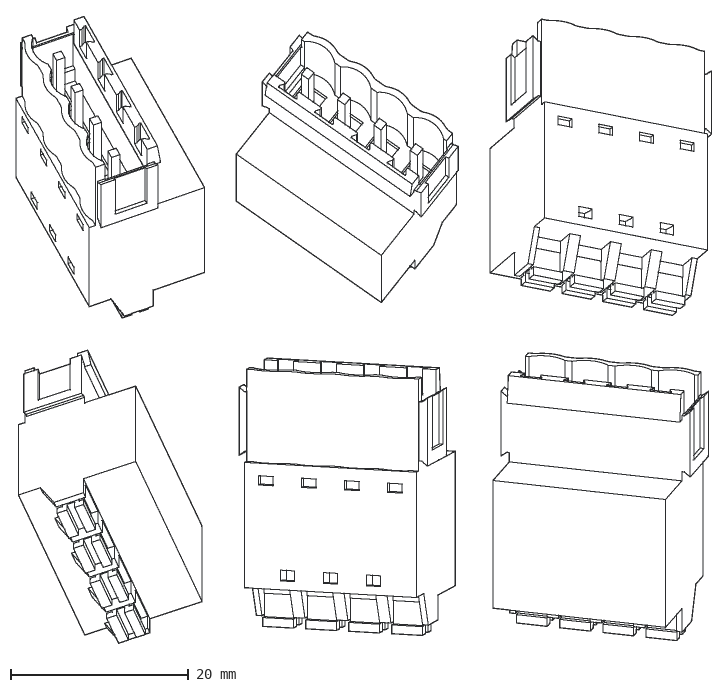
import cadquery as cq
import math


poles = 4
overall_width = 22.27
overall_height = 29.93
body_width = 20.32
body_depth = 14.2
pitch = body_width / poles
pole_xs = [(i - (poles - 1) / 2) * pitch for i in range(poles)]
between_xs = [x + pitch / 2 for x in pole_xs[:-1]]

shoulder_z = 19.42
body_front_bottom_z = 5.12
body_back_bottom_z = 4.07
foot_bottom_z = 1.23
foot_back_y = 7.87
foot_front_y = 4.3
slope_top_y = 2.65

rear_outer_y = 8.0
rear_inner_y = 7.12
rear_ledge_y = 7.1
rear_ledge_z = 25.75
front_inner_y = 1.92
cavity_width = 19.45
mouth_width = 20.53
mouth_ledge_z = 21.55

rib_width = 0.85
scallop_depth = 0.8
wave_valley_y = 0.78
wave_crest_y = 0.3
wave_arc_half = 1.53
valley_flat_half = 0.5

rail_bottom_z = 26.75
rail_bottom_y = 8.77
rail_top_y = 8.38

coding_mouth = 1.9
coding_back = 2.48
coding_back_y = 8.0
coding_flank_y = 7.8
coding_neck_y = 7.4
coding_floor_z = 26.95

ear_front_y = 1.02
ear_back_y = rear_outer_y
ear_bottom_z = 20.0
ear_top_z = 27.8
ear_chamfer = 0.55
ear_shoulder_top_z = ear_top_z - ear_chamfer
ear_slope_x = 10.45
ear_recess_front_y = 2.78
ear_recess_back_y = 6.65
ear_recess_bottom_z = 21.55
ear_recess_depth = 0.45

test_window_width = 1.7
test_window_bottom_z = 16.95
test_window_top_z = 18.0
test_window_depth = 0.65
latch_window_width = 1.65
latch_window_bottom_z = 6.15
latch_window_top_z = 7.35
latch_window_depth = 0.57
latch_well_back_width = 1.23
latch_well_back_y = 1.5
latch_well_bottom_z = 5.4

pin_side = 1.02
pin_y = 4.15
pin_top_z = 27.9
pin_well_width = 3.1
pin_well_front_y = 2.65
pin_well_back_y = 5.55
pin_well_depth = 0.9
pin_base_z = shoulder_z - pin_well_depth

lever_width = 3.62
lever_slot_width = 3.75
lever_top_z = 3.68
lever_front_y = 5.03
lever_back_y = 7.05
lever_toe_front_y = 4.37
lever_toe_back_y = 7.6
lever_toe_height = 1.02
lever_groove_front_y = 5.57
lever_groove_back_y = 6.52
lever_groove_height = 1.15


def box(x0, x1, y0, y1, z0, z1):
    """A box given by its limits along each axis."""
    return cq.Workplane("XY").box(x1 - x0, y1 - y0, z1 - z0, centered=False).translate((x0, y0, z0))


def centred_box(x, width, y0, y1, z0, z1):
    """A box centred at x along X and given by its limits along Y and Z."""
    return box(x - width / 2, x + width / 2, y0, y1, z0, z1)


def side_prism(points, width):
    """A (y, z) outline extruded along X, symmetric about X = 0."""
    return cq.Workplane("YZ").polyline(points).close().extrude(width / 2, both=True)


def plan_prism(points, z0, z1):
    """An (x, y) outline extruded from z0 to z1."""
    return cq.Workplane("XY").workplane(offset=z0).polyline(points).close().extrude(z1 - z0)


def terminal_body():
    outline = [
        (0, body_front_bottom_z),
        (slope_top_y, body_front_bottom_z),
        (foot_front_y, foot_bottom_z),
        (foot_back_y, foot_bottom_z),
        (foot_back_y, body_back_bottom_z),
        (body_depth, body_back_bottom_z),
        (body_depth, shoulder_z),
        (0, shoulder_z),
    ]
    return side_prism(outline, body_width)


def front_wall():
    """Wavy wall: convex bulges joined to flat valleys by tangent concave arcs, scalloped inside."""
    half_width = body_width / 2
    blend_half = pitch / 2 - valley_flat_half
    blend_width = blend_half - wave_arc_half
    wave_height = wave_valley_y - wave_crest_y
    wave_angle = 2 * math.atan(wave_height / blend_half)
    bulge_radius = wave_arc_half / math.sin(wave_angle)
    blend_radius = blend_width / math.sin(wave_angle)
    tangent_y = wave_crest_y + bulge_radius * (1 - math.cos(wave_angle))
    blend_mid_x = blend_half - blend_radius * math.sin(wave_angle / 2)
    blend_mid_y = wave_valley_y - blend_radius * (1 - math.cos(wave_angle / 2))
    scallop_half = (pitch - rib_width) / 2

    wall = cq.Workplane("XY").workplane(offset=shoulder_z).moveTo(-half_width, wave_valley_y)
    for x in pole_xs:
        wall = wall.lineTo(x - blend_half, wave_valley_y)
        wall = wall.threePointArc((x - blend_mid_x, blend_mid_y), (x - wave_arc_half, tangent_y))
        wall = wall.threePointArc((x, wave_crest_y), (x + wave_arc_half, tangent_y))
        wall = wall.threePointArc((x + blend_mid_x, blend_mid_y), (x + blend_half, wave_valley_y))
    wall = wall.lineTo(half_width, wave_valley_y).lineTo(half_width, front_inner_y)
    for x in reversed(pole_xs):
        wall = wall.lineTo(x + scallop_half, front_inner_y)
        wall = wall.threePointArc(
            (x, front_inner_y - scallop_depth), (x - scallop_half, front_inner_y)
        )
    return wall.lineTo(-half_width, front_inner_y).close().extrude(overall_height - shoulder_z)


def rear_wall():
    outline = [
        (rear_ledge_y, shoulder_z),
        (rear_outer_y, shoulder_z),
        (rear_outer_y, rail_bottom_z),
        (rail_bottom_y, rail_bottom_z),
        (rail_top_y, overall_height),
        (rear_inner_y, overall_height),
        (rear_inner_y, rear_ledge_z),
        (rear_ledge_y, rear_ledge_z),
    ]
    return side_prism(outline, body_width)


def side_wall():
    """Lower end wall of the socket on the +X side; the ear closes the end above it."""
    return box(cavity_width / 2, body_width / 2, front_inner_y, rear_ledge_y, shoulder_z, ear_top_z)


def ear():
    """Dovetail ear on the +X side with a shallow recess open at the top."""
    tip_x = overall_width / 2
    root_x = body_width / 2
    outline = [
        (root_x, ear_bottom_z + ear_chamfer),
        (ear_slope_x, ear_bottom_z + ear_chamfer),
        (tip_x, ear_bottom_z),
        (tip_x, ear_top_z),
        (ear_slope_x, ear_shoulder_top_z),
        (root_x, ear_shoulder_top_z),
    ]
    plate = cq.Workplane("XZ").polyline(outline).close().extrude(ear_front_y - ear_back_y)
    plate = plate.translate((0, ear_front_y, 0))
    recess = box(
        tip_x - ear_recess_depth, tip_x, ear_recess_front_y, ear_recess_back_y, ear_recess_bottom_z, ear_top_z
    )
    return plate.cut(recess)


def socket_mouth():
    """Widened upper part of the socket, which leaves a ledge along each end wall."""
    return centred_box(0, mouth_width, front_inner_y, rear_ledge_y, mouth_ledge_z, overall_height)


def coding_slot(x):
    """Dovetail slot open at the top and towards the socket."""
    mouth = coding_mouth / 2
    back = coding_back / 2
    points = [
        (x - mouth, rear_inner_y),
        (x - mouth, coding_neck_y),
        (x - back, coding_flank_y),
        (x - back, coding_back_y),
        (x + back, coding_back_y),
        (x + back, coding_flank_y),
        (x + mouth, coding_neck_y),
        (x + mouth, rear_inner_y),
    ]
    return plan_prism(points, coding_floor_z, overall_height)


def latch_window(x):
    """Window in the front face that opens into a deeper well with converging flanks."""
    mouth = latch_window_width / 2
    back = latch_well_back_width / 2
    window = centred_box(
        x, latch_window_width, 0, latch_window_depth, latch_window_bottom_z, latch_window_top_z
    )
    well_outline = [
        (x - mouth, latch_window_depth),
        (x + mouth, latch_window_depth),
        (x + back, latch_well_back_y),
        (x - back, latch_well_back_y),
    ]
    return window.union(plan_prism(well_outline, latch_well_bottom_z, latch_window_top_z))


def test_window(x):
    return centred_box(
        x, test_window_width, 0, test_window_depth, test_window_bottom_z, test_window_top_z
    )


def pin_well(x):
    return centred_box(x, pin_well_width, pin_well_front_y, pin_well_back_y, pin_base_z, shoulder_z)


def lever_bay(x):
    """Slot through the foot for a lever, with a taller relief in front of the lever."""
    slot = centred_box(x, lever_slot_width, 0, foot_back_y, 0, lever_top_z)
    relief = centred_box(x, lever_slot_width, 0, lever_front_y, 0, body_front_bottom_z)
    return slot.union(relief)


def make_housing():
    housing = terminal_body().union(front_wall()).union(rear_wall())
    for end_part in (side_wall(), ear()):
        housing = housing.union(end_part).union(end_part.mirror("YZ"))
    housing = housing.cut(socket_mouth())
    for x in pole_xs:
        housing = housing.cut(coding_slot(x)).cut(test_window(x)).cut(pin_well(x)).cut(lever_bay(x))
    for x in between_xs:
        housing = housing.cut(latch_window(x))
    return housing


def make_pin(x):
    """Square contact pin standing on the floor of its well."""
    return centred_box(x, pin_side, pin_y - pin_side / 2, pin_y + pin_side / 2, pin_base_z, pin_top_z)


def make_lever(x):
    """Lever block with a toe to the front and to the back and a groove between them."""
    block = centred_box(x, lever_width, lever_front_y, lever_back_y, 0, lever_top_z)
    toes = centred_box(x, lever_width, lever_toe_front_y, lever_toe_back_y, 0, lever_toe_height)
    groove = centred_box(x, lever_width, lever_groove_front_y, lever_groove_back_y, 0, lever_groove_height)
    return block.union(toes).cut(groove)


housing = make_housing()
pins = [make_pin(x).val() for x in pole_xs]
levers = [make_lever(x).val() for x in pole_xs]

result = cq.Compound.makeCompound([housing.val(), *pins, *levers])